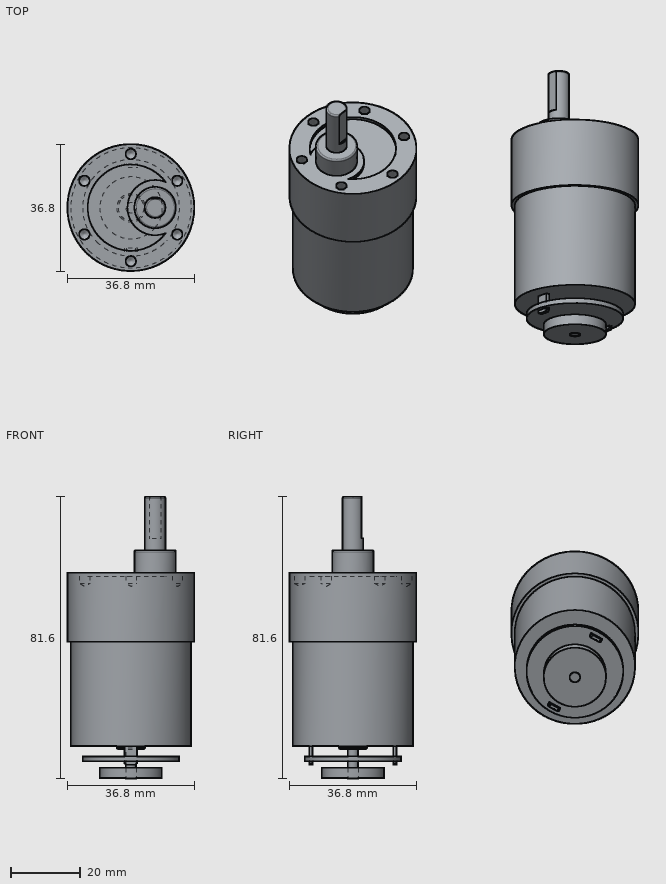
import cadquery as cq

GEARBOX_DIAMETER = 36.8
GEARBOX_LENGTH = 20.0
MOTOR_DIAMETER = 34.8
MOTOR_LENGTH = 30.2
MOTOR_BACK_Z = -GEARBOX_LENGTH - MOTOR_LENGTH

OUTPUT_OFFSET = 7.0
BOSS_DIAMETER = 12.0
BOSS_HEIGHT = 6.5
OUTPUT_DIAMETER = 6.0
OUTPUT_TOP_Z = 22.0
EDGE_ROUND = 0.5
FLAT_START_Z = 10.0
FLAT_OFFSET = 2.5

RECESS_DIAMETER = 24.95
RECESS_DEPTH = 1.0
ISLAND_DIAMETER = 16.0

HOLE_COUNT = 6
HOLE_FIRST_ANGLE = 30
HOLE_CIRCLE_RADIUS = 15.5
HOLE_DIAMETER = 3.0
HOLE_DEPTH = 3.0
HOLE_POINT_DEPTH = 0.9

COLLAR_DIAMETER = 8.2
COLLAR_HEIGHT = 0.9
COLLAR_CHAMFER = 0.4
REAR_SHAFT_DIAMETER = 3.0
REAR_SHAFT_LENGTH = 9.4

TERMINAL_OFFSET = 12.15
TERMINAL_WIDTH = 3.7
TERMINAL_THICKNESS = 1.0
TERMINAL_LENGTH = 5.4
TERMINAL_CHAMFER = 0.5

BOARD_DIAMETER = 28.0
BOARD_THICKNESS = 1.5
BOARD_GAP = 2.9
MAGNET_DIAMETER = 18.0
MAGNET_THICKNESS = 3.0
MAGNET_GAP = 6.2


def cylinder(diameter, bottom_z, height, x=0):
    """Vertical cylinder with its axis at (x, 0)."""
    return cq.Workplane("XY", origin=(x, 0, bottom_z)).circle(diameter / 2).extrude(height)


def make_housing():
    gearbox = cylinder(GEARBOX_DIAMETER, -GEARBOX_LENGTH, GEARBOX_LENGTH)
    motor = cylinder(MOTOR_DIAMETER, MOTOR_BACK_Z, MOTOR_LENGTH)
    return gearbox.union(motor)


def make_face_recess():
    disc = cylinder(RECESS_DIAMETER, -RECESS_DEPTH, RECESS_DEPTH)
    island = cylinder(ISLAND_DIAMETER, -RECESS_DEPTH, RECESS_DEPTH, OUTPUT_OFFSET)
    return disc.cut(island)


def make_mounting_holes():
    radius = HOLE_DIAMETER / 2
    drill = (
        cq.Workplane("XZ")
        .polyline([(0, 0), (radius, 0), (radius, -HOLE_DEPTH), (0, -HOLE_DEPTH - HOLE_POINT_DEPTH)])
        .close()
        .revolve(360, (0, 0, 0), (0, 1, 0))
        .val()
    )
    return (
        cq.Workplane("XY")
        .polarArray(HOLE_CIRCLE_RADIUS, HOLE_FIRST_ANGLE, 360, HOLE_COUNT)
        .eachpoint(lambda place: drill.moved(place), combine=False)
    )


def make_output():
    boss = cylinder(BOSS_DIAMETER, 0, BOSS_HEIGHT, OUTPUT_OFFSET)
    boss = boss.faces(">Z").fillet(EDGE_ROUND)
    shaft = cylinder(OUTPUT_DIAMETER, 0, OUTPUT_TOP_Z, OUTPUT_OFFSET)
    shaft = shaft.faces(">Z").fillet(EDGE_ROUND)
    flat_cut = cq.Workplane("XY", origin=(OUTPUT_OFFSET, FLAT_OFFSET, FLAT_START_Z)).box(
        OUTPUT_DIAMETER, OUTPUT_DIAMETER, OUTPUT_TOP_Z - FLAT_START_Z, centered=(True, False, False)
    )
    return boss.union(shaft.cut(flat_cut))


def make_rear_shaft():
    collar = cylinder(COLLAR_DIAMETER, MOTOR_BACK_Z, -COLLAR_HEIGHT)
    collar = collar.faces("<Z").chamfer(COLLAR_CHAMFER)
    shaft = cylinder(REAR_SHAFT_DIAMETER, MOTOR_BACK_Z, -REAR_SHAFT_LENGTH)
    return collar.union(shaft)


def make_terminals():
    tab = (
        cq.Workplane("XY")
        .rect(TERMINAL_WIDTH, TERMINAL_THICKNESS)
        .extrude(-TERMINAL_LENGTH)
        .edges("|Y and <Z")
        .chamfer(TERMINAL_CHAMFER)
        .val()
    )
    return (
        cq.Workplane("XY", origin=(0, 0, MOTOR_BACK_Z))
        .pushPoints([(0, -TERMINAL_OFFSET), (0, TERMINAL_OFFSET)])
        .eachpoint(lambda place: tab.moved(place), combine=False)
    )


def make_gearmotor():
    body = make_housing().cut(make_face_recess()).cut(make_mounting_holes())
    return body.union(make_output()).union(make_rear_shaft()).union(make_terminals())


def make_encoder_board():
    board = cylinder(BOARD_DIAMETER, MOTOR_BACK_Z - BOARD_GAP, -BOARD_THICKNESS)
    return board.cut(make_rear_shaft()).cut(make_terminals())


def make_magnet_disc():
    disc = cylinder(MAGNET_DIAMETER, MOTOR_BACK_Z - MAGNET_GAP, -MAGNET_THICKNESS)
    return disc.cut(make_rear_shaft())


gearmotor = make_gearmotor()
encoder_board = make_encoder_board()
magnet_disc = make_magnet_disc()

bodies = [gearmotor, encoder_board, magnet_disc]
result = cq.Compound.makeCompound([body.solids().val() for body in bodies])